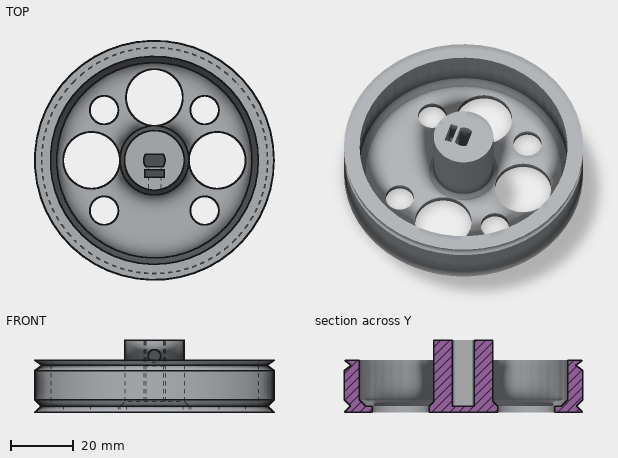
import cadquery as cq

rim_diameter = 76.19
rim_wall = 5.0
lower_groove_depth = 2.0
lower_groove_z = 2.0
lower_groove_half_width = lower_groove_z
upper_groove_depth = 2.2
upper_groove_z = 15.0
upper_groove_half_width = 1.67

web_thickness = 2.0
web_corner_chamfer = 2.0

hub_diameter = 19.0
hub_top = 23.0
hub_foot_chamfer = 1.5

large_hole_diameter = 18.0
large_hole_radius = 20.0
small_hole_diameter = 9.0
small_hole_offset = 16.0

shaft_diameter = 6.8
shaft_across_flats = 4.0

screw_diameter = 4.0
screw_z = 18.0
nut_width = 6.25
nut_thickness = 2.35
nut_center_y = -4.18

rim_radius = rim_diameter / 2
rim_inner_radius = rim_radius - rim_wall
lower_groove_radius = rim_radius - lower_groove_depth
upper_groove_radius = rim_radius - upper_groove_depth
rim_height = upper_groove_z + upper_groove_half_width
web_radius = rim_inner_radius - web_corner_chamfer
hub_radius = hub_diameter / 2
nut_pocket_depth = hub_top - screw_z + nut_width / 2


def wheel_body():
    """Revolve the half section of rim, web and hub about Z."""
    upper_groove_bottom = upper_groove_z - upper_groove_half_width
    section = [
        (0, 0),
        (rim_radius, 0),
        (lower_groove_radius, lower_groove_z),
        (rim_radius, lower_groove_z + lower_groove_half_width),
        (rim_radius, upper_groove_bottom),
        (upper_groove_radius, upper_groove_z),
        (rim_radius, rim_height),
        (rim_inner_radius, rim_height),
        (rim_inner_radius, web_thickness + web_corner_chamfer),
        (web_radius, web_thickness),
        (hub_radius + hub_foot_chamfer, web_thickness),
        (hub_radius, web_thickness + hub_foot_chamfer),
        (hub_radius, hub_top),
        (0, hub_top),
    ]
    return cq.Workplane("XZ").polyline(section).close().revolve(360, (0, 0), (0, 1))


def lightening_holes():
    """Three large holes on the axes (none at -Y) and four small ones between."""
    large_centers = [(-large_hole_radius, 0), (0, large_hole_radius), (large_hole_radius, 0)]
    small_centers = [
        (x_side * small_hole_offset, y_side * small_hole_offset)
        for x_side in (-1, 1)
        for y_side in (-1, 1)
    ]
    large = cq.Workplane("XY").pushPoints(large_centers).circle(large_hole_diameter / 2)
    small = cq.Workplane("XY").pushPoints(small_centers).circle(small_hole_diameter / 2)
    return large.extrude(web_thickness).union(small.extrude(web_thickness))


def shaft_bore():
    """Round bore trimmed by two flats parallel to X."""
    depth = hub_top - web_thickness
    top = cq.Workplane("XY").workplane(offset=hub_top)
    flats = top.rect(shaft_diameter, shaft_across_flats).extrude(-depth)
    return top.circle(shaft_diameter / 2).extrude(-depth).intersect(flats)


def nut_pocket():
    """Slot open at the hub top, deep enough to centre the nut on the screw."""
    top = cq.Workplane("XY").workplane(offset=hub_top)
    return top.center(0, nut_center_y).rect(nut_width, nut_thickness).extrude(-nut_pocket_depth)


def set_screw_hole():
    """Hole from the -Y side of the hub to the shaft axis."""
    return cq.Workplane("XZ").center(0, screw_z).circle(screw_diameter / 2).extrude(hub_radius)


result = (
    wheel_body()
    .cut(lightening_holes())
    .cut(shaft_bore())
    .cut(nut_pocket())
    .cut(set_screw_hole())
)